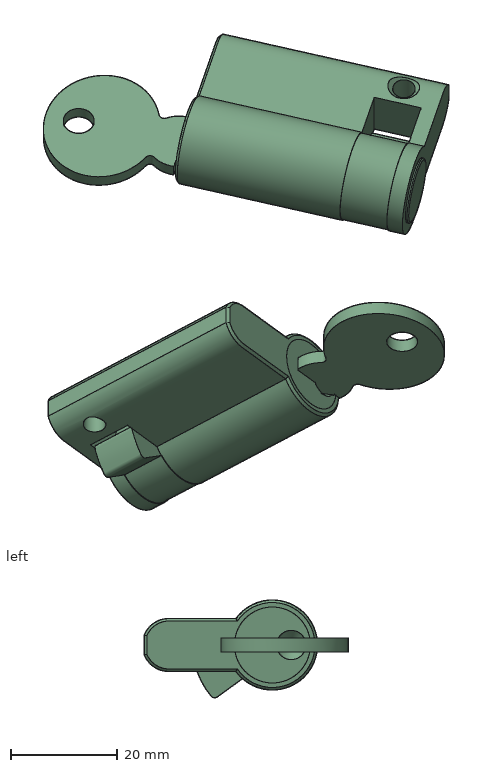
import cadquery as cq
import math


barrel_radius = 8.5
web_thickness = 10.0
web_round_center_y = 19.5
web_flat_offset = 4.65
web_end_y = web_round_center_y + web_flat_offset
housing_length = 44.5
front_chamfer = 0.5

fixing_hole_x = 36.95
fixing_hole_diameter = 4.2
countersink_diameter = 6.0
countersink_angle = 90.0

cam_start_x = 32.3
cam_width = 9.15
cam_end_x = cam_start_x + cam_width
slot_end_y = 15.4
cam_hub_radius = 8.35
cam_nose_radius = 15.04
cam_nose_angle = -30.0
cam_flank_taper = 6.0
cam_flank_offset = 1.83
cam_corner_radius = 0.9

front_plug_radius = 7.15
rear_plug_radius = 6.3
rear_plug_projection = 0.55
rear_plug_chamfer = 0.25
rear_plug_end_x = housing_length + rear_plug_projection
keyway_center_y = -3.55
keyway_radius = 2.75
keyway_depth = keyway_radius

overall_length = 71.96
key_thickness = 2.7
key_start_x = rear_plug_end_x - overall_length
bow_half_length = 10.9
bow_half_width = 12.0
bow_center_x = key_start_x + bow_half_length
bow_center_y = -2.3
key_ring_hole_center_x = -20.5
key_ring_hole_diameter = 5.8
neck_center_x = -1.08
neck_center_y = -1.84
neck_radius = 5.95
neck_corner_radius = 0.4
bow_neck_fillet = 1.0
shoulder_gap = 0.39


def x_cylinder(radius, start_x, end_x):
    """Cylinder on the lock axis between two X positions."""
    return cq.Workplane("YZ", origin=(start_x, 0, 0)).circle(radius).extrude(end_x - start_x)


def make_housing():
    barrel = x_cylinder(barrel_radius, 0, housing_length).faces("<X").chamfer(front_chamfer)

    web_block = (
        cq.Workplane("XY")
        .box(housing_length, web_end_y, web_thickness, centered=(False, False, True))
        .faces("<X")
        .chamfer(front_chamfer)
    )
    rounded_web = (
        cq.Workplane("YZ")
        .center(web_round_center_y / 2, 0)
        .slot2D(web_round_center_y + web_thickness, web_thickness)
        .extrude(housing_length)
        .faces("<X")
        .chamfer(front_chamfer)
    )
    web = web_block.intersect(rounded_web)
    body = barrel.union(web)

    cam_slot = cq.Workplane("XY").box(
        cam_width, slot_end_y + 2 * barrel_radius, 3 * barrel_radius, centered=(False, False, True)
    ).translate((cam_start_x, -2 * barrel_radius, 0))
    body = body.cut(cam_slot)
    body = body.cut(x_cylinder(front_plug_radius, 0, cam_start_x))
    body = body.cut(x_cylinder(rear_plug_radius, cam_end_x, housing_length))

    return (
        body.copyWorkplane(cq.Workplane("XY", origin=(fixing_hole_x, web_round_center_y, web_thickness / 2)))
        .cskHole(fixing_hole_diameter, countersink_diameter, countersink_angle)
    )


def make_cam():
    """Hub with a nose that widens outward; the nose is drawn along +Y and then turned."""
    taper = math.radians(cam_flank_taper)
    hub_reach = cam_hub_radius / 2
    tip_reach = math.sqrt(cam_nose_radius**2 - cam_flank_offset**2)

    def flank_point(reach):
        """Point on the upper flank, given its distance along the flank."""
        return (
            reach * math.cos(taper) - cam_flank_offset * math.sin(taper),
            reach * math.sin(taper) + cam_flank_offset * math.cos(taper),
        )

    root_y, root_z = flank_point(hub_reach)
    tip_y, tip_z = flank_point(tip_reach)
    nose = (
        cq.Workplane("YZ", origin=(cam_start_x, 0, 0))
        .moveTo(root_y, -root_z)
        .lineTo(tip_y, -tip_z)
        .threePointArc((cam_nose_radius, 0), (tip_y, tip_z))
        .lineTo(root_y, root_z)
        .close()
        .extrude(cam_width)
    )
    nose = nose.edges("|X").edges(">Y").fillet(cam_corner_radius)
    nose = nose.rotate((0, 0, 0), (1, 0, 0), cam_nose_angle)
    return x_cylinder(cam_hub_radius, cam_start_x, cam_end_x).union(nose)


def make_keyway_recess():
    """Cone that opens on the plug's front face."""
    return (
        cq.Workplane("XY", origin=(0, keyway_center_y, 0))
        .moveTo(0, 0)
        .lineTo(keyway_depth, 0)
        .lineTo(0, keyway_radius)
        .close()
        .revolve(360, (0, 0, 0), (1, 0, 0))
    )


def make_front_plug():
    return x_cylinder(front_plug_radius, 0, cam_start_x).cut(make_keyway_recess())


def make_rear_plug():
    return x_cylinder(rear_plug_radius, cam_end_x, rear_plug_end_x).faces(">X").chamfer(rear_plug_chamfer)


def make_key():
    plate = cq.Workplane("XY", origin=(0, 0, -key_thickness / 2))
    bow = (
        plate.center(bow_center_x, bow_center_y)
        .ellipse(bow_half_length, bow_half_width)
        .extrude(key_thickness)
    )
    neck_top = neck_center_y + neck_radius
    neck_bottom = neck_center_y - neck_radius
    notch_y = keyway_center_y - keyway_radius
    neck = (
        plate.moveTo(neck_center_x, neck_bottom)
        .threePointArc((neck_center_x - neck_radius, neck_center_y), (neck_center_x, neck_top))
        .lineTo(0, neck_top)
        .lineTo(0, notch_y)
        .lineTo(-shoulder_gap, notch_y)
        .lineTo(-shoulder_gap, neck_bottom)
        .close()
        .extrude(key_thickness)
    )
    neck = neck.edges("|Z").edges(">X").edges(">Y").fillet(neck_corner_radius)
    key = bow.union(neck)
    joint = cq.selectors.BoxSelector(
        (bow_center_x + bow_half_length / 2, -bow_half_width, -key_thickness / 4),
        (neck_center_x - neck_radius / 2, bow_half_width, key_thickness / 4),
    )
    key = key.edges(joint).fillet(bow_neck_fillet)

    ring_hole = (
        plate.center(key_ring_hole_center_x, bow_center_y)
        .circle(key_ring_hole_diameter / 2)
        .extrude(key_thickness)
    )
    tip_slab = cq.Workplane("XY").box(
        keyway_depth, 2 * keyway_radius, key_thickness, centered=(False, True, True)
    ).translate((0, keyway_center_y, 0))
    tip = make_keyway_recess().intersect(tip_slab)
    return key.cut(ring_hole).union(tip)


housing = make_housing()
front_plug = make_front_plug()
cam = make_cam()
rear_plug = make_rear_plug()
key = make_key()

bodies = [housing, front_plug, cam, rear_plug, key]
result = cq.Compound.makeCompound([body.solids().val() for body in bodies])